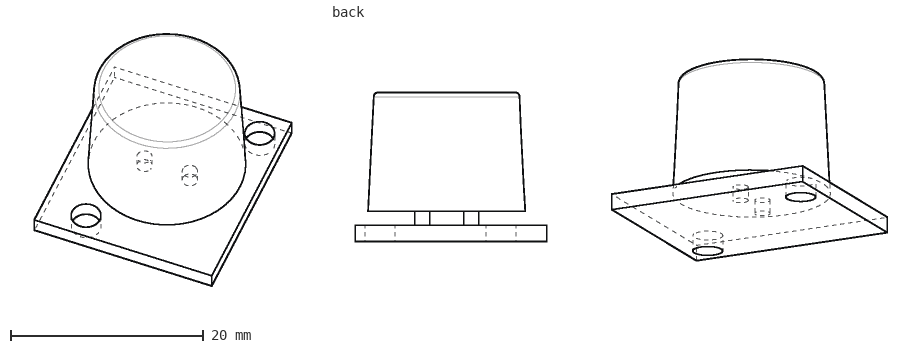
import cadquery as cq

plate_width = 19.9
plate_length = 22.1
plate_thickness = 1.7

hole_diameter = 3.1
hole_y = 8.49
right_hole_x = 7.38
left_hole_x = -5.17

total_height = 15.5
knob_x = 0.45
knob_gap = 1.44
knob_bottom_radius = 8.18
knob_top_radius = 7.55
knob_edge_fillet = 0.49
pin_diameter = 1.6
pin_spacing = 5.08

knob_bottom_z = plate_thickness + knob_gap


def make_plate():
    """Rectangular plate resting on Z = 0, with its two mounting holes."""
    plate = cq.Workplane("XY").box(
        plate_width, plate_length, plate_thickness, centered=(True, True, False)
    )
    holes = (
        cq.Workplane("XY")
        .pushPoints([(right_hole_x, hole_y), (left_hole_x, -hole_y)])
        .circle(hole_diameter / 2)
        .extrude(plate_thickness)
    )
    return plate.cut(holes)


def make_pins():
    """Two pins side by side, running from the plate bottom up to the knob."""
    return (
        cq.Workplane("XY")
        .center(knob_x, 0)
        .rarray(pin_spacing, 0.22, 2, 1)
        .circle(pin_diameter / 2)
        .extrude(knob_bottom_z)
    )


def make_knob():
    """Solid cone frustum with a rounded top edge."""
    profile = (
        cq.Workplane("XZ")
        .moveTo(0, knob_bottom_z)
        .lineTo(knob_bottom_radius, knob_bottom_z)
        .lineTo(knob_top_radius, total_height)
        .lineTo(0, total_height)
        .close()
    )
    knob = profile.revolve(360, (0, 0, 0), (0, 1, 0))
    return knob.faces(">Z").edges().fillet(knob_edge_fillet).translate((knob_x, 0, 0))


result = make_plate().union(make_pins()).union(make_knob())